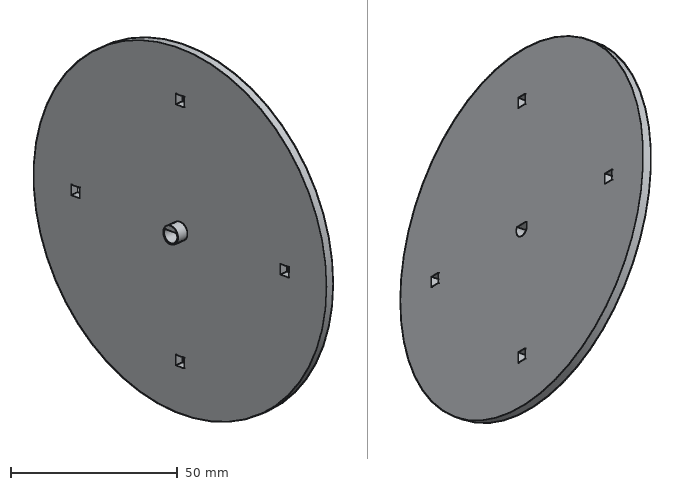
import cadquery as cq

disc_diameter = 120.0
disc_thickness = 3.0

total_depth = 7.1
hub_diameter = 6.1
bore_diameter = 5.3
bore_flat_height = 1.3

square_side = 3.5
square_circle_radius = 42.8
square_count = 4


def cylinder_along_y(diameter, length):
    """Cylinder on the Y axis, running from Y = 0 towards -Y."""
    return cq.Workplane("XZ").circle(diameter / 2).extrude(length)


def d_bore():
    """D-shaped through cutter: a round bore filled in above its flat."""
    bore = cylinder_along_y(bore_diameter, total_depth)
    lower_height = bore_diameter / 2 + bore_flat_height
    below_flat = (
        cq.Workplane("XZ")
        .center(0, bore_flat_height - lower_height / 2)
        .rect(bore_diameter, lower_height)
        .extrude(total_depth)
    )
    return bore.intersect(below_flat)


def square_holes():
    """Through cutters for the square holes, all with sides parallel to X and Z."""
    return (
        cq.Workplane("XZ")
        .polarArray(square_circle_radius, 0, 360, square_count, rotate=False)
        .rect(square_side, square_side)
        .extrude(disc_thickness)
    )


disc = cylinder_along_y(disc_diameter, disc_thickness)
hub = cylinder_along_y(hub_diameter, total_depth)
result = disc.union(hub).cut(d_bore()).cut(square_holes())